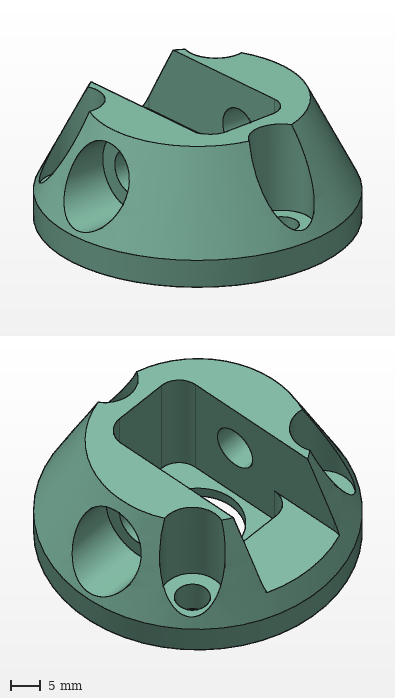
import cadquery as cq
import math

base_radius = 27.5
base_height = 5.0
top_radius = 18.85
height = 22.0

channel_width = 18.35
corner_radius = 4.0
channel_floor = 8.9
pocket_length = 26.0
pocket_floor = 2.0
channel_outer_end = 26.5
bore_diameter = 16.0

screw_circle_radius = 21.0
screw_angles = (0, 130, -130)
screw_diameter = 6.0
screw_head_diameter = 11.0
screw_seat = 6.0

cross_height = 13.0
cross_diameter = 8.0
cross_head_diameter = 14.0
cross_seat = 15.0


def make_body():
    profile = [
        (0, 0),
        (base_radius, 0),
        (base_radius, base_height),
        (top_radius, height),
        (0, height),
    ]
    return cq.Workplane("XZ").polyline(profile).close().revolve(360, (0, 0, 0), (0, 1, 0))


def rounded_cut(x_min, x_max, floor):
    """Round-cornered prism of channel width, from the floor to the top face."""
    return (
        cq.Workplane("XY", origin=((x_min + x_max) / 2, 0, floor))
        .rect(x_max - x_min, channel_width)
        .extrude(height - floor)
        .edges("|Z")
        .fillet(corner_radius)
    )


def screw_cut(angle):
    """Through hole with a head counterbore open to the top."""
    x = screw_circle_radius * math.cos(angle)
    y = screw_circle_radius * math.sin(angle)
    hole = cq.Workplane("XY", origin=(x, y, 0)).circle(screw_diameter / 2).extrude(height)
    head = (
        cq.Workplane("XY", origin=(x, y, screw_seat))
        .circle(screw_head_diameter / 2)
        .extrude(height - screw_seat)
    )
    return hole.union(head)


def cross_cut():
    """Hole along Y with a head counterbore at each end."""
    cut = (
        cq.Workplane("XZ", origin=(0, 0, cross_height))
        .circle(cross_diameter / 2)
        .extrude(base_radius, both=True)
    )
    for side in (-1, 1):
        head = (
            cq.Workplane("XZ", origin=(0, side * cross_seat, cross_height))
            .circle(cross_head_diameter / 2)
            .extrude(-side * (base_radius - cross_seat))
        )
        cut = cut.union(head)
    return cut


pocket_end = pocket_length / 2
result = make_body()
result = result.cut(rounded_cut(-channel_outer_end, pocket_end, channel_floor))
result = result.cut(rounded_cut(-pocket_end, pocket_end, pocket_floor))
result = result.cut(cq.Workplane("XY").circle(bore_diameter / 2).extrude(height))
for angle in screw_angles:
    result = result.cut(screw_cut(math.radians(angle)))
result = result.cut(cross_cut())